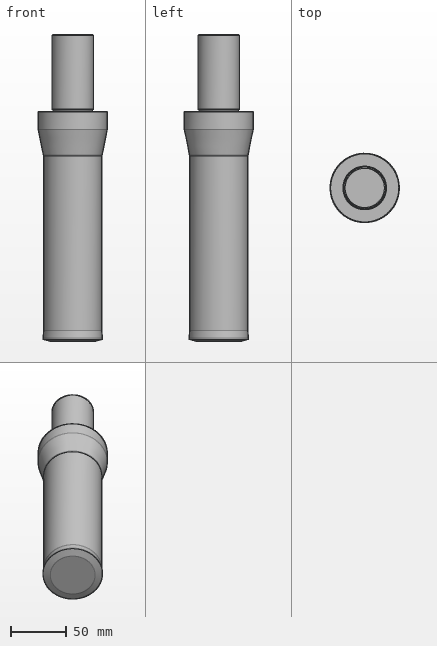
import cadquery as cq

total_height = 279.0

rod_radius = 19.0
rod_chamfer = 1.0
neck_radius = 18.0
rod_shoulder_z = 211.0
neck_top_z = rod_shoulder_z - (rod_radius - neck_radius)

collar_radius = 31.5
collar_top_z = 209.0
collar_chamfer = 0.5
collar_bottom_z = 192.7
barrel_radius = 26.5
cone_bottom_radius = 26.8
cone_bottom_z = 169.3
barrel_top_z = 168.5
flare_top_z = 9.8
rim_radius = 27.0
rim_top_z = 3.0
rim_bottom_z = 2.0
foot_radius = 20.4

mouth_radius = 19.8
mouth_chamfer = mouth_radius - neck_radius
socket_floor_z = cone_bottom_z


def revolve_profile(profile):
    """Revolve a closed (radius, z) profile about the Z axis."""
    return profile.close().revolve(360, (0, 0, 0), (0, 1, 0))


def make_rod():
    """Chamfered rod with a narrower neck that fills the housing socket."""
    profile = (
        cq.Workplane("XZ")
        .moveTo(0, socket_floor_z)
        .lineTo(neck_radius, socket_floor_z)
        .lineTo(neck_radius, neck_top_z)
        .lineTo(rod_radius, rod_shoulder_z)
        .lineTo(rod_radius, total_height - rod_chamfer)
        .lineTo(rod_radius - rod_chamfer, total_height)
        .lineTo(0, total_height)
    )
    return revolve_profile(profile)


def make_housing():
    """Collared barrel with a flared, bevelled foot and a socket in its top."""
    profile = (
        cq.Workplane("XZ")
        .moveTo(0, 0)
        .lineTo(foot_radius, 0)
        .lineTo(rim_radius, rim_bottom_z)
        .lineTo(rim_radius, rim_top_z)
        .lineTo(barrel_radius, flare_top_z)
        .lineTo(barrel_radius, barrel_top_z)
        .lineTo(cone_bottom_radius, cone_bottom_z)
        .lineTo(collar_radius, collar_bottom_z)
        .lineTo(collar_radius, collar_top_z - collar_chamfer)
        .lineTo(collar_radius - collar_chamfer, collar_top_z)
        .lineTo(mouth_radius, collar_top_z)
        .lineTo(neck_radius, collar_top_z - mouth_chamfer)
        .lineTo(neck_radius, socket_floor_z)
        .lineTo(0, socket_floor_z)
    )
    return revolve_profile(profile)


rod = make_rod()
housing = make_housing()

result = cq.Compound.makeCompound([housing.val(), rod.val()])